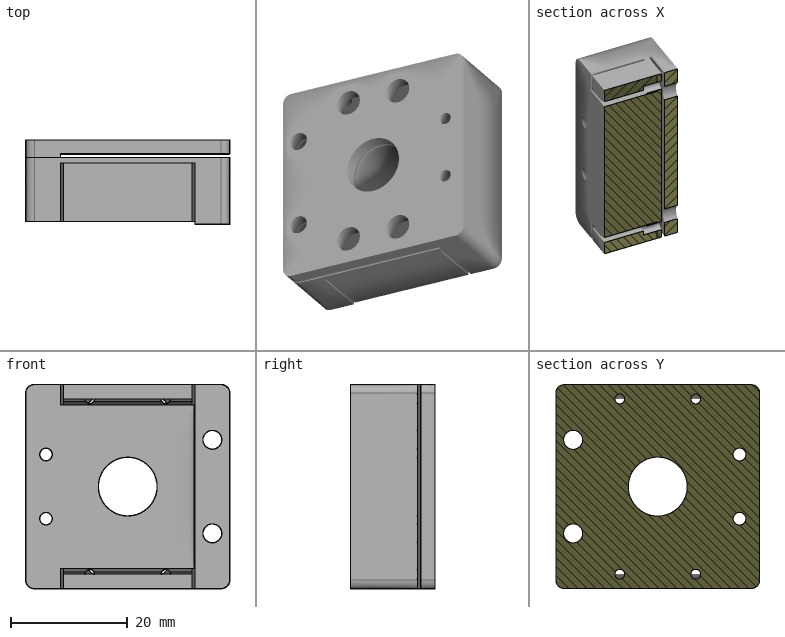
import cadquery as cq

side = 35.0
total_depth = 14.5
corner_radius = 1.5
back_y = total_depth / 2

cover_depth = 3.0
cover_gap = 0.5
edge_bevel = 0.15
main_front_depth = 14.0
slot_back_depth = 4.0

slot_half_width = 11.5
slot_height = 3.5
slot_floor = side / 2 - slot_height

bar_side_clearance = 0.5
bar_width = 2 * (slot_half_width - bar_side_clearance)
bar_plate_thickness = 2.52
foot_thickness = 2.52
foot_chamfer = 0.6

bore_diameter = 10.0
small_hole_diameter = 2.1
small_hole_x = -14.0
small_hole_z = 5.5
mount_hole_diameter = 3.2
mount_hole_x = 14.5
mount_hole_z = 8.0
screw_hole_diameter = 1.6
screw_hole_x = 6.5
screw_hole_z = 15.0
cover_access_diameter = 4.4
cover_access_x = 4.8
cover_access_z = 13.1


def front_sketch(depth):
    """Workplane at a depth from the back face, facing the front: X stays X, local Y is Z."""
    return cq.Workplane("XZ", origin=(0, back_y - depth, 0))


def block(x_min, x_max, start_depth, end_depth, z_min, z_max):
    """Rectangular block between two depths."""
    return (
        front_sketch(start_depth)
        .center((x_min + x_max) / 2, (z_min + z_max) / 2)
        .rect(x_max - x_min, z_max - z_min)
        .extrude(end_depth - start_depth)
    )


def rounded_slab(start_depth, end_depth):
    """Full square slab with rounded corners."""
    slab = block(-side / 2, side / 2, start_depth, end_depth, -side / 2, side / 2)
    return slab.edges("|Y").fillet(corner_radius)


def rods(points, diameter, start_depth, end_depth):
    """Cylinders along Y used as hole cutters."""
    return (
        front_sketch(start_depth)
        .pushPoints(points)
        .circle(diameter / 2)
        .extrude(end_depth - start_depth)
    )


def four_corners(x, z):
    return [(sign_x * x, sign_z * z) for sign_x in (-1, 1) for sign_z in (-1, 1)]


def cut_through_holes(body):
    """Bore, small holes and mounting holes, which pass through the cover and the housing."""
    holes = [
        ([(0, 0)], bore_diameter),
        ([(small_hole_x, small_hole_z), (small_hole_x, -small_hole_z)], small_hole_diameter),
        ([(mount_hole_x, mount_hole_z), (mount_hole_x, -mount_hole_z)], mount_hole_diameter),
    ]
    for points, diameter in holes:
        body = body.cut(rods(points, diameter, 0, total_depth))
    return body


screw_points = four_corners(screw_hole_x, screw_hole_z)
foot_front_depth = slot_back_depth + foot_thickness
screw_holes = rods(screw_points, screw_hole_diameter, cover_depth, foot_front_depth)


def make_cover():
    """Back cover, touching the housing only along its left margin; the rest is relieved by a gap."""
    relief_depth = cover_depth - cover_gap
    base = rounded_slab(0, relief_depth).faces("<Y").chamfer(edge_bevel)
    margin_limits = block(-side / 2, -slot_half_width, 0, cover_depth, -side / 2, side / 2)
    margin = rounded_slab(0, cover_depth).intersect(margin_limits)
    access_points = four_corners(cover_access_x, cover_access_z)
    access_holes = rods(access_points, cover_access_diameter, 0, cover_depth)
    return cut_through_holes(base.union(margin).cut(access_holes))


def make_housing():
    """Main block with a raised strip on its right and a slot in its top and bottom faces."""
    housing = rounded_slab(cover_depth, total_depth)
    front_step = block(
        -side / 2, slot_half_width, main_front_depth, total_depth, -side / 2, side / 2
    )
    housing = housing.cut(front_step)
    corner_bevel = (
        cq.Workplane("XY", origin=(0, 0, -slot_floor))
        .moveTo(slot_half_width, back_y - main_front_depth)
        .hLine(-edge_bevel)
        .line(edge_bevel, -edge_bevel)
        .close()
        .extrude(2 * slot_floor)
    )
    housing = housing.union(corner_bevel)
    for z_min, z_max in ((slot_floor, side / 2), (-side / 2, -slot_floor)):
        slot = block(
            -slot_half_width, slot_half_width, slot_back_depth, main_front_depth, z_min, z_max
        )
        housing = housing.cut(slot)
    return cut_through_holes(housing.cut(screw_holes))


def make_bar(z_sign):
    """L-section bar filling the top (z_sign 1) or bottom (z_sign -1) slot."""
    outer_z = side / 2
    plate_z = outer_z - bar_plate_thickness
    plate_front_y = back_y - main_front_depth
    foot_front_y = back_y - foot_front_depth
    slot_back_y = back_y - slot_back_depth
    section = [
        (slot_back_y, outer_z),
        (plate_front_y, outer_z),
        (plate_front_y, plate_z),
        (foot_front_y, plate_z),
        (foot_front_y, slot_floor + foot_chamfer),
        (foot_front_y + foot_chamfer, slot_floor),
        (slot_back_y, slot_floor),
    ]
    bar = (
        cq.Workplane("YZ", origin=(-bar_width / 2, 0, 0))
        .polyline([(y, z_sign * z) for y, z in section])
        .close()
        .extrude(bar_width)
    )
    return bar.cut(screw_holes)


cover = make_cover()
housing = make_housing()
bars = [make_bar(z_sign) for z_sign in (1, -1)]

result = cq.Compound.makeCompound([cover.val(), housing.val(), *[bar.val() for bar in bars]])